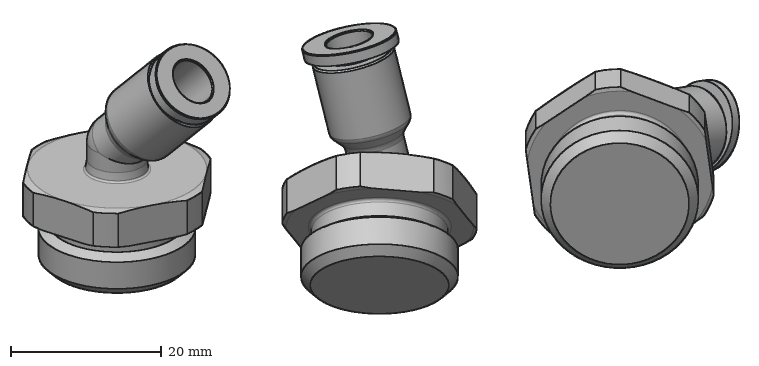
import cadquery as cq
import math

overall_height = 34.3

thread_radius = 10.45
thread_end_chamfer = 1.25
thread_top = 5.18
neck_radius = 9.1
neck_bottom = 6.0
neck_fillet = 0.45

flange_bottom = 8.5
flange_top = 13.93
flange_sides = 6
across_flats = 24.0
corner_radius = 13.0
top_bevel_radius = 11.95
top_bevel_drop = 0.3
bottom_bevel_radius = 12.5
bottom_bevel_rise = 0.15

pipe_radius = 4.0
root_top = 15.33
root_radius = 4.2
root_fillet = 0.27
tilt_angle = 45.0

socket_radius = 5.6
shoulder_start = 3.5
shoulder_end = 5.35
shoulder_inner_fillet = 1.2
shoulder_outer_fillet = 0.95
socket_end = 15.57
socket_end_chamfer = 0.25

collar_radius = 3.75
cap_start = 16.33
cap_end = 17.9
cap_half_width = 6.5
cap_half_height = 5.45
cap_edge_chamfer = 0.15

bore_radius = 3.15
bore_chamfer = 0.17

tilt = math.radians(tilt_angle)
cap_rim_half_height = cap_half_height - cap_edge_chamfer
cap_reach = cap_end * math.cos(tilt) + cap_rim_half_height * math.sin(tilt)
elbow_height = overall_height - cap_reach


def revolve_about_z(points):
    """Revolve a closed outline of (radius, height) points about Z."""
    return cq.Workplane("XZ").polyline(points).close().revolve(360, (0, 0), (0, 1))


def make_threaded_base():
    base = revolve_about_z([
        (0, 0),
        (thread_radius - thread_end_chamfer, 0),
        (thread_radius, thread_end_chamfer),
        (thread_radius, thread_top),
        (neck_radius, neck_bottom),
        (neck_radius, flange_bottom),
        (0, flange_bottom),
    ])
    fillet = (
        cq.Workplane("XZ")
        .moveTo(0, flange_bottom - neck_fillet)
        .lineTo(neck_radius, flange_bottom - neck_fillet)
        .radiusArc((neck_radius + neck_fillet, flange_bottom), neck_fillet)
        .lineTo(0, flange_bottom)
        .close()
        .revolve(360, (0, 0), (0, 1))
    )
    return base.union(fillet)


def make_flange():
    across_corners = across_flats / math.cos(math.pi / flange_sides)
    hexagon = (
        cq.Workplane("XY")
        .workplane(offset=flange_bottom)
        .polygon(flange_sides, across_corners)
        .extrude(flange_top - flange_bottom)
    )
    envelope = revolve_about_z([
        (0, flange_bottom),
        (bottom_bevel_radius, flange_bottom),
        (corner_radius, flange_bottom + bottom_bevel_rise),
        (corner_radius, flange_top - top_bevel_drop),
        (top_bevel_radius, flange_top),
        (0, flange_top),
    ])
    return hexagon.intersect(envelope)


def make_upright_pipe():
    root_fillet_top = flange_top + root_fillet
    return (
        cq.Workplane("XZ")
        .moveTo(0, flange_top)
        .lineTo(root_radius + root_fillet, flange_top)
        .radiusArc((root_radius, root_fillet_top), root_fillet)
        .lineTo(pipe_radius, root_top)
        .lineTo(pipe_radius, elbow_height)
        .lineTo(0, elbow_height)
        .close()
        .revolve(360, (0, 0), (0, 1))
    )


def make_tilted_body():
    """Tilted pipe, shoulder and socket, built along +Z from the ball centre."""
    body = revolve_about_z([
        (0, 0),
        (pipe_radius, 0),
        (pipe_radius, shoulder_start),
        (socket_radius, shoulder_end),
        (socket_radius, socket_end),
        (0, socket_end),
    ])
    body = body.faces(">Z").edges().chamfer(socket_end_chamfer)
    body = body.edges("%CIRCLE").edges(">>Z[2]").fillet(shoulder_outer_fillet)
    return body.edges("%CIRCLE").edges(">>Z[1]").fillet(shoulder_inner_fillet)


def make_release_button():
    collar = (
        cq.Workplane("XY")
        .workplane(offset=socket_end)
        .circle(collar_radius)
        .extrude(cap_start - socket_end)
    )
    cap = (
        cq.Workplane("XY")
        .workplane(offset=cap_start)
        .ellipse(cap_half_height, cap_half_width)
        .extrude(cap_end - cap_start)
        .faces(">Z")
        .edges()
        .chamfer(cap_edge_chamfer)
    )
    return collar.union(cap)


def make_bore():
    return revolve_about_z([
        (0, shoulder_end),
        (bore_radius, shoulder_end),
        (bore_radius, cap_end - bore_chamfer),
        (bore_radius + bore_chamfer, cap_end),
        (0, cap_end),
    ])


def place_on_elbow(solid):
    """Tilt a solid built along +Z and move it to the ball centre."""
    return solid.rotate((0, 0, 0), (0, 1, 0), tilt_angle).translate((0, 0, elbow_height))


ball = cq.Workplane("XY").sphere(pipe_radius).translate((0, 0, elbow_height))
branch = make_tilted_body().union(make_release_button()).cut(make_bore())

result = (
    make_threaded_base()
    .union(make_flange())
    .union(make_upright_pipe())
    .union(ball)
    .union(place_on_elbow(branch))
)